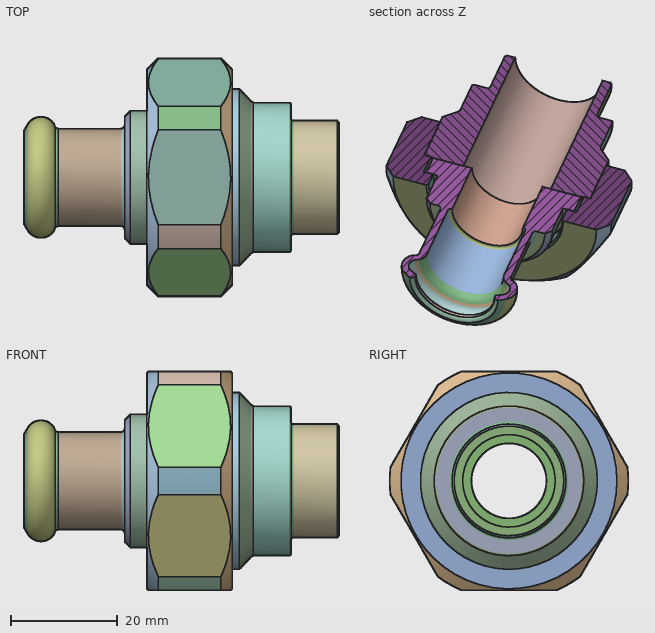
import cadquery as cq
import math


TOTAL_LENGTH = 59.0
NUT_START = 23.0
NUT_LENGTH = 16.0
NUT_END = NUT_START + NUT_LENGTH
NUT_LIP = 3.0
SHOULDER_LENGTH = 4.0
SHOULDER_START = NUT_START + NUT_LIP
SEAL_FACE = SHOULDER_START + SHOULDER_LENGTH

ACROSS_FLATS = 41.0
CORNER_DIAMETER = 44.68
NUT_FACE_RADIUS = 20.2
CORNER_CHAMFER = CORNER_DIAMETER / 2 - NUT_FACE_RADIUS
NUT_HOLE_RADIUS = 26.5 / 2
NUT_HOLE_CHAMFER = 0.35
NUT_RELIEF_RADIUS = 30.29 / 2
THREAD_RADIUS = 33.1 / 2

NECK_RADIUS = 18.3 / 2
SOCKET_RADIUS = 15.3 / 2
STOP_RADIUS = 14.0 / 2
COLLAR_RADIUS = 25.0 / 2
COLLAR_START = 18.85
COLLAR_CHAMFER = 1.1
SHOULDER_RADIUS = 29.5 / 2
NECK_FILLET = 0.7
STOP_POSITION = COLLAR_START
STOP_FILLET = 0.4

BEAD_CENTRE = 3.2
BEAD_CENTRE_RADIUS = 8.46
BEAD_ARC = 2.9
BEAD_HALF_WIDTH = 2.5
BEAD_EDGE_RADIUS = BEAD_CENTRE_RADIUS + math.sqrt(BEAD_ARC**2 - BEAD_HALF_WIDTH**2)
LIP_RADIUS = 15.7 / 2
LIP_START = 0.5
LIP_HEIGHT = 0.9
MOUTH_RADIUS = LIP_RADIUS + LIP_HEIGHT
LIP_ARC = (LIP_START**2 + LIP_HEIGHT**2) / (2 * LIP_START)
LIP_END = 1.15
GROOVE_ARC = 1.5
GROOVE_HALF_WIDTH = 1.3
GROOVE_EDGE_RADIUS = BEAD_CENTRE_RADIUS + math.sqrt(GROOVE_ARC**2 - GROOVE_HALF_WIDTH**2)
GROOVE_WALL_END = 4.8
GROOVE_WALL_RADIUS = 8.65
SOCKET_START = 6.55
BEAD_FOOT = 5.9
BEAD_FOOT_RADIUS = 9.35
NECK_START = 6.4

SPIGOT_RADIUS = 21.3 / 2
SPIGOT_BORE_RADIUS = 17.3 / 2
BODY_RADIUS = 28.0 / 2
BODY_END = 50.0
THREAD_END = 40.35
CONE_END = 42.55
CONE_END_RADIUS = 14.25
CONE_FILLET_LENGTH = 0.4
BODY_FILLET = 0.35
SPIGOT_FILLET = 0.45
SPIGOT_CHAMFER = 0.4


def revolve_about_x(profile):
    """Turn a closed (X, radius) profile into a solid of revolution about the X axis."""
    return profile.close().revolve(360, (0, 0, 0), (1, 0, 0))


def make_tailpiece():
    profile = (
        cq.Workplane("XY")
        .moveTo(0, MOUTH_RADIUS)
        .lineTo(BEAD_CENTRE - BEAD_HALF_WIDTH, BEAD_EDGE_RADIUS)
        .threePointArc(
            (BEAD_CENTRE, BEAD_CENTRE_RADIUS + BEAD_ARC),
            (BEAD_CENTRE + BEAD_HALF_WIDTH, BEAD_EDGE_RADIUS),
        )
        .lineTo(BEAD_FOOT, BEAD_FOOT_RADIUS)
        .lineTo(NECK_START, NECK_RADIUS)
        .lineTo(COLLAR_START - NECK_FILLET, NECK_RADIUS)
        .radiusArc((COLLAR_START, NECK_RADIUS + NECK_FILLET), -NECK_FILLET)
        .lineTo(COLLAR_START, COLLAR_RADIUS - COLLAR_CHAMFER)
        .lineTo(COLLAR_START + COLLAR_CHAMFER, COLLAR_RADIUS)
        .lineTo(SHOULDER_START, COLLAR_RADIUS)
        .lineTo(SHOULDER_START, SHOULDER_RADIUS)
        .lineTo(SEAL_FACE, SHOULDER_RADIUS)
        .lineTo(SEAL_FACE, STOP_RADIUS)
        .lineTo(STOP_POSITION, STOP_RADIUS)
        .lineTo(STOP_POSITION, SOCKET_RADIUS - STOP_FILLET)
        .radiusArc((STOP_POSITION - STOP_FILLET, SOCKET_RADIUS), -STOP_FILLET)
        .lineTo(SOCKET_START, SOCKET_RADIUS)
        .tangentArcPoint((GROOVE_WALL_END, GROOVE_WALL_RADIUS), relative=False)
        .lineTo(BEAD_CENTRE + GROOVE_HALF_WIDTH, GROOVE_EDGE_RADIUS)
        .threePointArc(
            (BEAD_CENTRE, BEAD_CENTRE_RADIUS + GROOVE_ARC),
            (BEAD_CENTRE - GROOVE_HALF_WIDTH, GROOVE_EDGE_RADIUS),
        )
        .lineTo(LIP_END, LIP_RADIUS)
        .lineTo(LIP_START, LIP_RADIUS)
        .radiusArc((0, MOUTH_RADIUS), LIP_ARC)
    )
    return revolve_about_x(profile)


def make_spigot():
    profile = (
        cq.Workplane("XY")
        .moveTo(SEAL_FACE, SPIGOT_BORE_RADIUS)
        .lineTo(SEAL_FACE, THREAD_RADIUS)
        .lineTo(THREAD_END, THREAD_RADIUS)
        .lineTo(CONE_END, CONE_END_RADIUS)
        .lineTo(CONE_END + CONE_FILLET_LENGTH, BODY_RADIUS)
        .lineTo(BODY_END - BODY_FILLET, BODY_RADIUS)
        .radiusArc((BODY_END, BODY_RADIUS - BODY_FILLET), BODY_FILLET)
        .lineTo(BODY_END, SPIGOT_RADIUS + SPIGOT_FILLET)
        .radiusArc((BODY_END + SPIGOT_FILLET, SPIGOT_RADIUS), -SPIGOT_FILLET)
        .lineTo(TOTAL_LENGTH - SPIGOT_CHAMFER, SPIGOT_RADIUS)
        .lineTo(TOTAL_LENGTH, SPIGOT_RADIUS - SPIGOT_CHAMFER)
        .lineTo(TOTAL_LENGTH, SPIGOT_BORE_RADIUS)
    )
    return revolve_about_x(profile)


def make_nut():
    hexagon = (
        cq.Workplane("YZ", origin=(NUT_START, 0, 0))
        .polygon(6, ACROSS_FLATS / math.cos(math.pi / 6))
        .extrude(NUT_LENGTH)
    )
    turned_blank = (
        cq.Workplane("YZ", origin=(NUT_START, 0, 0))
        .circle(CORNER_DIAMETER / 2)
        .extrude(NUT_LENGTH)
        .edges("%CIRCLE")
        .chamfer(CORNER_CHAMFER)
    )
    cavity = revolve_about_x(
        cq.Workplane("XY")
        .moveTo(NUT_START, 0)
        .lineTo(NUT_START, NUT_HOLE_RADIUS + NUT_HOLE_CHAMFER)
        .lineTo(NUT_START + NUT_HOLE_CHAMFER, NUT_HOLE_RADIUS)
        .lineTo(SHOULDER_START, NUT_HOLE_RADIUS)
        .lineTo(SHOULDER_START, NUT_RELIEF_RADIUS)
        .lineTo(SEAL_FACE, NUT_RELIEF_RADIUS)
        .lineTo(SEAL_FACE, THREAD_RADIUS)
        .lineTo(NUT_END, THREAD_RADIUS)
        .lineTo(NUT_END, 0)
    )
    return hexagon.intersect(turned_blank).cut(cavity)


tailpiece = make_tailpiece()
spigot = make_spigot()
nut = make_nut()

result = cq.Compound.makeCompound([tailpiece.val(), spigot.val(), nut.val()])